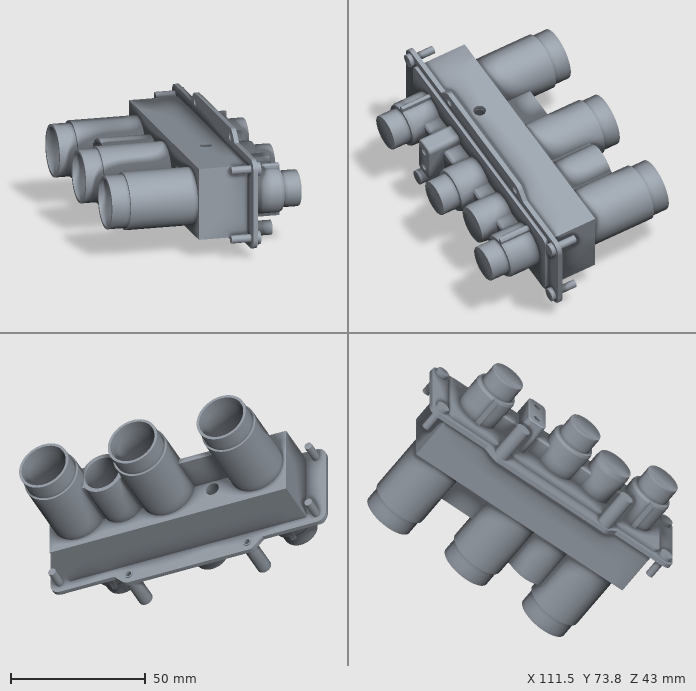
import cadquery as cq
import math


plate_length = 111.5
plate_height = 34.3
plate_thickness = 1.8
plate_corner_radius = 3.9
ear_height = 43.0
ear_base_length = 60.0
ear_corner_radius = 3.5
ear_hole_x = 24.0
ear_hole_z = 18.1
ear_hole_diameter = 3.0

pad_length = 97.0
pad_height = 28.8
pad_thickness = 1.3
pad_corner_radius = 2.2
pad_back = plate_thickness + pad_thickness
block_length = 95.7
block_height = 27.3
block_depth = 18.7

screw_x = plate_length / 2 - plate_corner_radius
screw_z = plate_height / 2 - plate_corner_radius
screw_diameter = 3.0
screw_tip = 7.6
screw_head_diameter = 5.1
screw_head_height = 1.7

standoff_diameter = 5.6
standoff_back = 15.6
standoff_rivet_height = 0.7
standoff_hole_diameter = 2.2
standoff_hole_depth = 3.3

pitch = 35.9
main_centers = (-pitch, 0.0, pitch)
keyed_centers = (-pitch, pitch)
socket_diameter = 21.6
socket_shoulder = 44.6
socket_tip_diameter = 20.0
socket_tip = 51.5
socket_bore_diameter = 17.8
contact_diameter = 10.3
contact_depth = 5.6
plug_diameter = 17.1
plug_back = 15.3
plug_chamfer_length = 1.0
plug_chamfer_inset = 0.3
plug_tip_diameter = 13.7
plug_tip_back = 22.3
plug_tip_chamfer_length = 0.5
plug_tip_chamfer_inset = 0.1
key_width = 1.9
key_top = 10.1
key_bottom = -9.7
key_offset = 0.28
key_chamfer = 0.6

small_x = -pitch / 2
small_socket_diameter = 17.1
small_socket_tip = 38.8
small_bore_diameter = 13.9
small_contact_diameter = 8.0
small_contact_depth = 5.6
small_plug_diameter = 15.0
small_plug_back = 16.5
small_plug_chamfer_length = 2.1
small_plug_chamfer_inset = 0.3

web_height = 9.4
rear_web_back = 10.0
rear_web_chamfer = 0.7
rib_thickness = 2.1
rib_tip = 33.6

bolt_x = pitch / 2
bolt_z = 4.5
bolt_hole_diameter = 3.0
bolt_counterbore_diameter = 5.2
bolt_counterbore_depth = 5.6
post_width = 7.8
post_height = 17.0
post_back = 16.3
post_corner_radius = 2.0
post_chamfer = 0.3
cross_hole_diameter = 4.2
cross_hole_mouth_diameter = 4.6
cross_hole_mouth_depth = 1.8
cross_hole_y = -7.7


def sketch_at(y):
    """XZ sketch plane at the given Y; positive extrusion goes toward -Y."""
    return cq.Workplane(cq.Plane(origin=(0, y, 0), xDir=(1, 0, 0), normal=(0, -1, 0)))


def rod(x, z, diameter, y_front, y_back):
    return sketch_at(y_front).center(x, z).circle(diameter / 2).extrude(y_front - y_back)


def bar(x, width, height, y_front, y_back):
    return sketch_at(y_front).center(x, 0).rect(width, height).extrude(y_front - y_back)


def tapered_rod(x, diameter, y_front, y_back, chamfer_length, chamfer_inset):
    body = rod(x, 0, diameter, y_front, y_back)
    return body.faces(">Y").chamfer(chamfer_length, chamfer_inset)


def make_plate():
    main = bar(0, plate_length, plate_height, 0, plate_thickness)
    main = main.edges("|Y").fillet(plate_corner_radius)
    rise = (ear_height - plate_height) / 2
    base_x = ear_base_length / 2
    top_x = base_x - rise
    base_z = plate_height / 2
    top_z = ear_height / 2
    ears = (
        sketch_at(0)
        .polyline([
            (base_x, base_z), (top_x, top_z), (-top_x, top_z), (-base_x, base_z),
            (-base_x, -base_z), (-top_x, -top_z), (top_x, -top_z), (base_x, -base_z),
        ])
        .close()
        .extrude(-plate_thickness)
    )
    ears = ears.edges("|Y").edges(">Z or <Z").fillet(ear_corner_radius)
    plate = main.union(ears)
    for x in (-ear_hole_x, ear_hole_x):
        for z in (-ear_hole_z, ear_hole_z):
            plate = plate.cut(rod(x, z, ear_hole_diameter, 0, plate_thickness))
    return plate


def make_pad_and_block():
    pad = bar(0, pad_length, pad_height, plate_thickness, pad_back)
    pad = pad.edges("|Y").fillet(pad_corner_radius)
    return pad.union(bar(0, block_length, block_height, -block_depth, plate_thickness))


def make_screw(x, z):
    shank = rod(x, z, screw_diameter, -screw_tip, plate_thickness)
    head_back = plate_thickness + screw_head_height
    return shank.union(rod(x, z, screw_head_diameter, plate_thickness, head_back))


def make_standoff(x):
    z = -ear_hole_z
    post = rod(x, z, standoff_diameter, plate_thickness, standoff_back)
    post = post.union(rod(x, z, ear_hole_diameter, -standoff_rivet_height, plate_thickness))
    hole_end = standoff_hole_depth - standoff_rivet_height
    return post.cut(rod(x, z, standoff_hole_diameter, -standoff_rivet_height, hole_end))


def make_main_connector(x):
    socket = rod(x, 0, socket_diameter, -socket_shoulder, 0)
    tip = rod(x, 0, socket_tip_diameter, -socket_tip, -socket_shoulder)
    plug = tapered_rod(x, plug_diameter, 0, plug_back, plug_chamfer_length, plug_chamfer_inset)
    plug_tip = tapered_rod(
        x, plug_tip_diameter, 0, plug_tip_back, plug_tip_chamfer_length, plug_tip_chamfer_inset
    )
    return socket.union(tip).union(plug).union(plug_tip)


def make_key(x):
    outward = math.copysign(1, x)
    height = key_top - key_bottom
    key = bar(x + outward * key_offset, key_width, height, 0, plug_back)
    key = key.translate((0, 0, (key_top + key_bottom) / 2))
    outboard_face = ">X" if outward > 0 else "<X"
    return key.faces(outboard_face).edges(">Z").chamfer(key_chamfer)


def make_main_bore(x):
    bore = rod(x, 0, socket_bore_diameter, -socket_tip, -block_depth)
    return bore.union(rod(x, 0, contact_diameter, -block_depth, contact_depth - block_depth))


def make_small_connector():
    socket = rod(small_x, 0, small_socket_diameter, -small_socket_tip, 0)
    web = bar(small_x, pitch / 2, web_height, -small_socket_tip, 0)
    plug = tapered_rod(
        small_x, small_plug_diameter, 0, small_plug_back,
        small_plug_chamfer_length, small_plug_chamfer_inset,
    )
    return socket.union(web).union(plug)


def make_small_bore():
    bore = rod(small_x, 0, small_bore_diameter, -small_socket_tip, -block_depth)
    contact_back = small_contact_depth - block_depth
    return bore.union(rod(small_x, 0, small_contact_diameter, -block_depth, contact_back))


def make_rear_web():
    web = bar(0, 2 * pitch, web_height, 0, rear_web_back)
    return web.faces(">Y").edges("|X").chamfer(rear_web_chamfer)


def make_guide_post():
    post = bar(bolt_x, post_width, post_height, 0, post_back)
    return post.edges("|Y").fillet(post_corner_radius).faces(">Y").chamfer(post_chamfer)


def make_bolt_holes():
    block_top = cq.Workplane("XY").workplane(offset=block_height / 2).center(bolt_x, cross_hole_y)
    holes = block_top.circle(cross_hole_diameter / 2).extrude(bolt_z - block_height / 2)
    mouth = block_top.circle(cross_hole_mouth_diameter / 2).extrude(-cross_hole_mouth_depth)
    holes = holes.union(mouth)
    counterbore_back = bolt_counterbore_depth - block_depth
    for z in (-bolt_z, bolt_z):
        holes = holes.union(rod(bolt_x, z, bolt_hole_diameter, -block_depth, post_back))
        holes = holes.union(rod(bolt_x, z, bolt_counterbore_diameter, -block_depth, counterbore_back))
    return holes


result = make_plate().union(make_pad_and_block())

for screw_side in (-screw_x, screw_x):
    for screw_level in (-screw_z, screw_z):
        result = result.union(make_screw(screw_side, screw_level))
for standoff_x in (-ear_hole_x, ear_hole_x):
    result = result.union(make_standoff(standoff_x))

result = result.union(make_small_connector()).union(make_rear_web())
result = result.union(bar(bolt_x, pitch, rib_thickness, -rib_tip, 0))
for center_x in main_centers:
    result = result.union(make_main_connector(center_x))
for center_x in keyed_centers:
    result = result.union(make_key(center_x))
result = result.union(make_guide_post())

for center_x in main_centers:
    result = result.cut(make_main_bore(center_x))
result = result.cut(make_small_bore()).cut(make_bolt_holes())